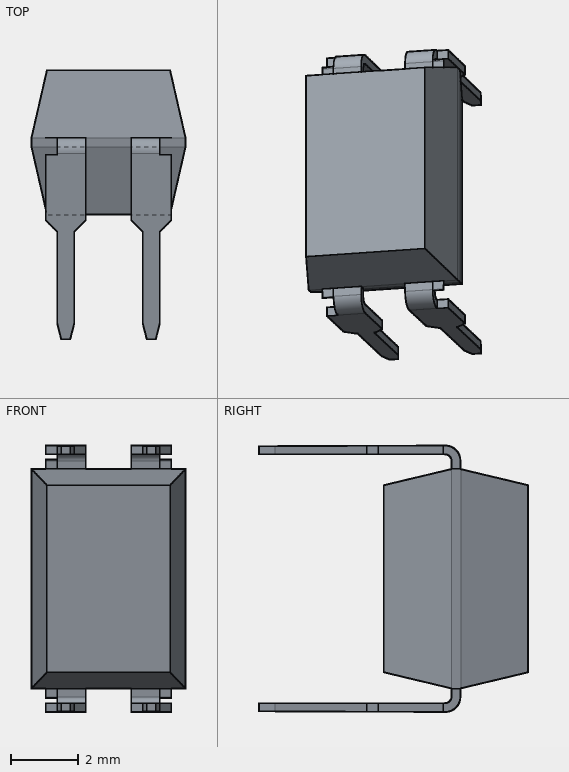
import cadquery as cq
import math

body_width = 4.58
body_height = 6.52
face_width = 3.66
face_height = 5.56
block_depth = 2.01

lead_thickness = 0.27
lead_span = 7.92
overall_depth = 8.0
row_pitch = 2.54
shoulder_width = 1.19
shoulder_reach = 2.45
pin_width = 0.51
tip_width = 0.27
tip_length = 0.47
tip_inset = 0.02
bend_radius = 0.46

relief_reach = 0.51
relief_skin = 0.002

lead_reach = overall_depth - block_depth
band_back = 0.0
band_front = band_back - lead_thickness
tip_end = band_back - lead_reach
body_top = body_height / 2
lead_top = lead_span / 2
lead_rise = lead_top - body_top
pin_x = row_pitch / 2
shoulder_half = shoulder_width / 2
pin_half = pin_width / 2
tip_half = tip_width / 2


def block(base_y, direction):
    """Tapered block growing from the band in the given Y direction (+1 or -1)."""
    base = cq.Plane(origin=(0, base_y, 0), xDir=(1, 0, 0), normal=(0, direction, 0))
    return (
        cq.Workplane(base)
        .rect(body_width, body_height)
        .workplane(offset=block_depth)
        .rect(face_width, face_height)
        .loft()
    )


def make_body():
    band = cq.Workplane("XZ", origin=(0, band_back, 0)).rect(body_width, body_height).extrude(lead_thickness)
    return band.union(block(band_front, -1)).union(block(band_back, 1))


def bent_strip():
    """Strip of shoulder width: up from the body, round the bend and forward, thinning slightly to the tip."""
    bend_start = lead_top - bend_radius
    bend_end = band_back - bend_radius
    inner_radius = bend_radius - lead_thickness
    lead_bottom = lead_top - lead_thickness
    diagonal = math.sqrt(0.5)
    outer_middle = (bend_end + bend_radius * diagonal, bend_start + bend_radius * diagonal)
    inner_middle = (bend_end + inner_radius * diagonal, bend_start + inner_radius * diagonal)
    return (
        cq.Workplane("YZ", origin=(pin_x - shoulder_half, 0, 0))
        .moveTo(band_back, body_top)
        .lineTo(band_back, bend_start)
        .threePointArc(outer_middle, (bend_end, lead_top))
        .lineTo(tip_end, lead_top - tip_inset)
        .lineTo(tip_end, lead_bottom)
        .lineTo(bend_end, lead_bottom)
        .threePointArc(inner_middle, (band_front, bend_start))
        .lineTo(band_front, body_top)
        .close()
        .extrude(shoulder_width)
    )


def lead_plan():
    """Prism over the lead's plan: wide shoulder, 45-degree steps to the pin and a tapered tip."""
    shoulder_end = band_back - shoulder_reach
    pin_start = shoulder_end - (shoulder_half - pin_half)
    taper_start = tip_end + tip_length
    return (
        cq.Workplane("XY", origin=(pin_x, 0, body_top))
        .moveTo(-shoulder_half, band_back)
        .lineTo(-shoulder_half, shoulder_end)
        .lineTo(-pin_half, pin_start)
        .lineTo(-pin_half, taper_start)
        .lineTo(-tip_half, tip_end)
        .lineTo(tip_half, tip_end)
        .lineTo(pin_half, taper_start)
        .lineTo(pin_half, pin_start)
        .lineTo(shoulder_half, shoulder_end)
        .lineTo(shoulder_half, band_back)
        .close()
        .extrude(lead_rise)
    )


def bend_relief():
    """Notch on the outer side of the bend, which narrows the bend to the pin's outer edge."""
    return cq.Workplane("XY").box(
        shoulder_half - pin_half, relief_reach - relief_skin, lead_rise, centered=False
    ).translate((pin_x + pin_half, band_back - relief_reach, body_top))


def make_lead():
    return bent_strip().intersect(lead_plan()).cut(bend_relief())


def make_leads():
    """One lead at each corner, mirrored in X and in Z."""
    lead = make_lead()
    upper_leads = [lead, lead.mirror("YZ")]
    lower_leads = [upper.mirror("XY") for upper in upper_leads]
    return upper_leads + lower_leads


body = make_body()
leads = make_leads()
result = cq.Compound.makeCompound([body.solids().val(), *[lead.solids().val() for lead in leads]])